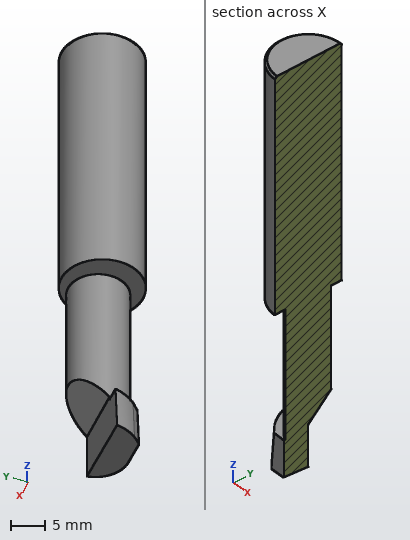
import cadquery as cq
import math

total_length = 76.2
shank_diameter = 12.7
shank_end_chamfer = 0.4
shoulder_height = 31.8
neck_diameter = 9.4

head_height = 7.6
relief_plane_y = 0.0
relief_start_height = 8.1
relief_angle = 45.0
side_lean_angle = 5.0
end_fall_x = 1.8
end_fall_y = 5.0

shank_radius = shank_diameter / 2
neck_radius = neck_diameter / 2
neck_center_x = shank_radius - neck_radius

tip_x = -5.5
flank_mid = (-4.7, -1.8)
flank_end = (-3.6, -3.4)
front_corner_x = -2.1
tip_bottom_x = tip_x - head_height * math.tan(math.radians(side_lean_angle))


def make_shank():
    return (
        cq.Workplane("XY", origin=(0, 0, shoulder_height))
        .circle(shank_radius)
        .extrude(total_length - shoulder_height)
        .faces(">Z")
        .chamfer(shank_end_chamfer)
    )


def make_neck():
    neck = cq.Workplane("XY").center(neck_center_x, 0).circle(neck_radius).extrude(shoulder_height)
    reach = shank_diameter
    slope_top = relief_start_height + reach * math.tan(math.radians(relief_angle))
    relief = (
        cq.Workplane("YZ", origin=(-reach, 0, 0))
        .moveTo(relief_plane_y, 0)
        .lineTo(relief_plane_y, relief_start_height)
        .lineTo(relief_plane_y + reach, slope_top)
        .lineTo(relief_plane_y + reach, 0)
        .close()
        .extrude(2 * reach)
    )
    return neck.cut(relief)


def head_section(height):
    """Wire of the head at a height; the flank shifts outward going down."""
    shift = (height - head_height) * math.tan(math.radians(side_lean_angle))
    return (
        cq.Workplane("XY", origin=(0, 0, height))
        .moveTo(tip_x + shift, relief_plane_y)
        .threePointArc((flank_mid[0] + shift, flank_mid[1]), (flank_end[0] + shift, flank_end[1]))
        .lineTo(front_corner_x + shift, -neck_radius)
        .lineTo(neck_center_x, -neck_radius)
        .lineTo(neck_center_x, relief_plane_y)
        .close()
        .wire()
        .val()
    )


def make_head():
    return cq.Workplane(cq.Solid.makeLoft([head_section(0), head_section(head_height)], True))


def make_end_cutter():
    """Block below the sloped end face, which passes through the tip at Z = 0."""
    size = 4 * shank_diameter
    normal = (-math.tan(math.radians(end_fall_x)), math.tan(math.radians(end_fall_y)), 1)
    end_plane = cq.Plane(origin=(tip_bottom_x, relief_plane_y, 0), normal=normal)
    return cq.Workplane(end_plane).rect(size, size).extrude(-shank_diameter)


result = make_shank().union(make_neck()).union(make_head()).cut(make_end_cutter())